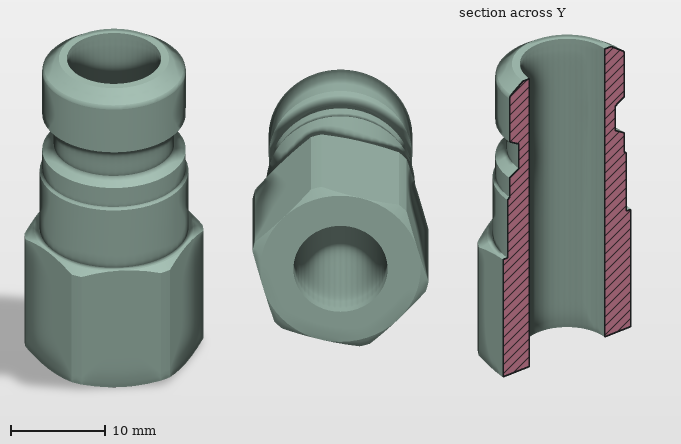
import cadquery as cq
import math

total_height = 36.0
bore_diameter = 10.0

hex_across_flats = 17.0
hex_corner_diameter = 19.0
hex_height = 14.7
hex_chamfer_angle = 30.0

shank_diameter = 15.8
collar_diameter = 15.25
groove_diameter = 12.8
nose_face_diameter = 11.7

shank_top = 21.9
groove_bottom = 25.3
groove_top = 28.3

groove_flank_height = 0.75
nose_height = 1.3
nose_edge_radius = 0.5


def make_hex_section():
    """Hexagon with two flats square to X, rounded corners and conical chamfers at both ends."""
    flat_radius = hex_across_flats / 2
    corner_radius = hex_corner_diameter / 2
    chamfer_height = (corner_radius - flat_radius) * math.tan(math.radians(hex_chamfer_angle))
    prism = (
        cq.Workplane("XY")
        .polygon(6, hex_across_flats, circumscribed=True)
        .extrude(hex_height)
    )
    turned_envelope = (
        cq.Workplane("XZ")
        .moveTo(0, 0)
        .lineTo(flat_radius, 0)
        .lineTo(corner_radius, chamfer_height)
        .lineTo(corner_radius, hex_height - chamfer_height)
        .lineTo(flat_radius, hex_height)
        .lineTo(0, hex_height)
        .close()
        .revolve(360, (0, 0, 0), (0, 1, 0))
    )
    return prism.intersect(turned_envelope)


def make_spigot():
    """Turned shank, collar, locking groove and nose, with a rounded nose edge."""
    shank_radius = shank_diameter / 2
    collar_radius = collar_diameter / 2
    groove_radius = groove_diameter / 2
    shoulder_chamfer = shank_radius - collar_radius
    nose_base = total_height - nose_height
    spigot = (
        cq.Workplane("XZ")
        .moveTo(0, 0)
        .lineTo(shank_radius, 0)
        .lineTo(shank_radius, shank_top)
        .lineTo(collar_radius, shank_top + shoulder_chamfer)
        .lineTo(collar_radius, groove_bottom - groove_flank_height)
        .lineTo(groove_radius, groove_bottom)
        .lineTo(groove_radius, groove_top)
        .lineTo(collar_radius, groove_top + groove_flank_height)
        .lineTo(collar_radius, nose_base)
        .lineTo(nose_face_diameter / 2, total_height)
        .lineTo(0, total_height)
        .close()
        .revolve(360, (0, 0, 0), (0, 1, 0))
    )
    nose_edge = cq.selectors.BoxSelector(
        (-shank_radius, -shank_radius, nose_base - nose_edge_radius / 2),
        (shank_radius, shank_radius, nose_base + nose_edge_radius / 2),
        boundingbox=True,
    )
    return spigot.edges(nose_edge).fillet(nose_edge_radius)


def make_bore():
    """Cylinder that opens the part from end to end."""
    return cq.Workplane("XY").circle(bore_diameter / 2).extrude(total_height)


result = make_hex_section().union(make_spigot()).cut(make_bore())